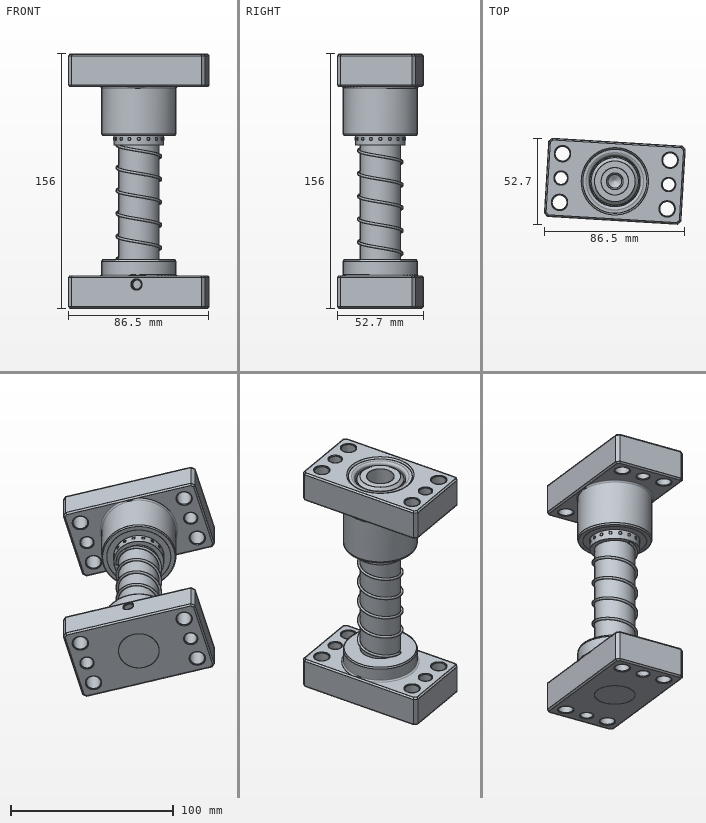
import cadquery as cq
import math

TOTAL_HEIGHT = 156.0

PLATE_ANGLE = -3.45
PLATE_LENGTH = 84.0
PLATE_WIDTH = 48.0
PLATE_THICKNESS = 20.0
PLATE_CORNER = 2.0
EDGE_CHAMFER = 1.0

HOLE_SPACING_LONG = 66.2
HOLE_SPACING_SHORT = 30.0
SCREW_HOLE_DIAMETER = 9.0
DOWEL_HOLE_DIAMETER = 7.8
HOLE_CHAMFER = 0.5

COLLAR_RADIUS = 22.8
COLLAR_CHAMFER_RADIAL = 0.55
COLLAR_CHAMFER_AXIAL = 1.1
FOOT_FILLET = 1.0
LOWER_COLLAR_TOP = 30.0
UPPER_COLLAR_BOTTOM = 106.1

CLAMP_HOLE_HEIGHT = 14.7
CLAMP_HOLE_DIAMETER = 6.0

BUSH_RADIUS = 19.7
BUSH_MOUTH_FILLET = 2.0

PILLAR_RADIUS = 12.5
TAPPED_HOLE_RADIUS = 4.2
TAPPED_HOLE_CHAMFER = 1.0
TAPPED_HOLE_DEPTH = 18.7
DRILL_POINT_ANGLE = 118.0

RING_RADIUS = 14.5
RING_BORE_RADIUS = 8.5
RING_HEIGHT = 12.5
RING_CHAMFER = 2.0

CAGE_BOTTOM = 100.2
CAGE_RADIUS = 15.3
BALL_RADIUS = 1.5
BALL_COUNT = 16
BALL_ROW_OFFSET = 3.9

WIRE_RADIUS = 0.8
SPRING_TURNS = 5
SPRING_START_ANGLE = 185.0

UPPER_PLATE_BOTTOM = TOTAL_HEIGHT - PLATE_THICKNESS
BUSH_TOP = TOTAL_HEIGHT - EDGE_CHAMFER
PILLAR_TOP = BUSH_TOP - RING_HEIGHT
BALL_TRACK_RADIUS = PILLAR_RADIUS + BALL_RADIUS
BUSH_BORE_RADIUS = BALL_TRACK_RADIUS + BALL_RADIUS
COIL_RADIUS = PILLAR_RADIUS + WIRE_RADIUS
SPRING_LENGTH = CAGE_BOTTOM - LOWER_COLLAR_TOP
SPRING_PITCH = SPRING_LENGTH / SPRING_TURNS


def disc(radius, bottom, top):
    """Cylinder on the main axis between two heights."""
    return cq.Workplane("XY").workplane(offset=bottom).circle(radius).extrude(top - bottom)


def tube(outer_radius, inner_radius, bottom, top):
    """Hollow cylinder on the main axis between two heights."""
    return disc(outer_radius, bottom, top).cut(disc(inner_radius, bottom, top))


def chamfered_hole(diameter):
    """Through hole for a plate standing on z = 0, chamfered at both ends."""
    radius = diameter / 2
    wide = radius + HOLE_CHAMFER
    profile = [
        (0, 0),
        (wide, 0),
        (radius, HOLE_CHAMFER),
        (radius, PLATE_THICKNESS - HOLE_CHAMFER),
        (wide, PLATE_THICKNESS),
        (0, PLATE_THICKNESS),
    ]
    return cq.Workplane("XZ").polyline(profile).close().revolve(360, (0, 0), (0, 1))


def drilled_plate():
    """Plate standing on z = 0 with bevelled corners and edges and six holes."""
    plate = cq.Workplane("XY").rect(PLATE_LENGTH, PLATE_WIDTH).extrude(PLATE_THICKNESS)
    plate = plate.edges("|Z").chamfer(PLATE_CORNER)
    plate = plate.faces("<Z or >Z").edges().chamfer(EDGE_CHAMFER)
    for x in (-HOLE_SPACING_LONG / 2, HOLE_SPACING_LONG / 2):
        for y, diameter in (
            (-HOLE_SPACING_SHORT / 2, SCREW_HOLE_DIAMETER),
            (0, DOWEL_HOLE_DIAMETER),
            (HOLE_SPACING_SHORT / 2, SCREW_HOLE_DIAMETER),
        ):
            plate = plate.cut(chamfered_hole(diameter).translate((x, y, 0)))
    return plate


def collar(height):
    """Round collar on top of a plate, with a chamfered rim and a fillet at its foot.

    The foot fillet is trimmed where it would overhang the bevelled plate edge.
    """
    top = PLATE_THICKNESS + height
    fillet_centre = (COLLAR_RADIUS + FOOT_FILLET, PLATE_THICKNESS + FOOT_FILLET)
    fillet_middle = (
        fillet_centre[0] - FOOT_FILLET * math.sqrt(0.5),
        fillet_centre[1] - FOOT_FILLET * math.sqrt(0.5),
    )
    body = (
        cq.Workplane("XZ")
        .moveTo(0, PLATE_THICKNESS)
        .lineTo(fillet_centre[0], PLATE_THICKNESS)
        .threePointArc(fillet_middle, (COLLAR_RADIUS, fillet_centre[1]))
        .lineTo(COLLAR_RADIUS, top - COLLAR_CHAMFER_AXIAL)
        .lineTo(COLLAR_RADIUS - COLLAR_CHAMFER_RADIAL, top)
        .lineTo(0, top)
        .close()
        .revolve(360, (0, 0), (0, 1))
    )
    flat_width = PLATE_WIDTH - 2 * EDGE_CHAMFER
    flat_face = cq.Workplane("XY").rect(PLATE_LENGTH, flat_width).extrude(top)
    return body.intersect(flat_face)


def clamp_hole():
    """Hole from the front face of the plate to the pillar, with a chamfered mouth."""
    radius = CLAMP_HOLE_DIAMETER / 2
    face = cq.Workplane("XZ", origin=(0, -PLATE_WIDTH / 2, CLAMP_HOLE_HEIGHT))
    hole = face.circle(radius).extrude(-PLATE_WIDTH / 2)
    mouth = face.circle(radius + HOLE_CHAMFER).workplane(offset=-HOLE_CHAMFER).circle(radius).loft()
    return hole.union(mouth)


def turned(body):
    """Turn a plate body to its angle about the main axis."""
    return body.rotate((0, 0, 0), (0, 0, 1), PLATE_ANGLE)


def make_lower_plate():
    plate = drilled_plate().union(collar(LOWER_COLLAR_TOP - PLATE_THICKNESS))
    plate = plate.cut(disc(PILLAR_RADIUS, 0, LOWER_COLLAR_TOP))
    return turned(plate.cut(clamp_hole()))


def make_upper_plate():
    plate = drilled_plate().union(collar(UPPER_PLATE_BOTTOM - UPPER_COLLAR_BOTTOM))
    plate = plate.rotate((0, 0, 0), (1, 0, 0), 180).translate((0, 0, TOTAL_HEIGHT))
    plate = plate.cut(disc(BUSH_RADIUS, UPPER_COLLAR_BOTTOM, TOTAL_HEIGHT))
    round_edges = plate.faces(">Z").edges("%CIRCLE")
    bore_rim = cq.selectors.RadiusNthSelector(-1)
    return turned(round_edges.edges(bore_rim).chamfer(EDGE_CHAMFER))


def make_bush():
    bush = tube(BUSH_RADIUS, BUSH_BORE_RADIUS, UPPER_COLLAR_BOTTOM, BUSH_TOP)
    mouth = cq.selectors.RadiusNthSelector(0)
    return bush.faces(">Z").edges(mouth).fillet(BUSH_MOUTH_FILLET)


def make_pillar():
    point_length = TAPPED_HOLE_RADIUS / math.tan(math.radians(DRILL_POINT_ANGLE / 2))
    hole_floor = PILLAR_TOP - TAPPED_HOLE_DEPTH
    hole_profile = [
        (0, PILLAR_TOP),
        (TAPPED_HOLE_RADIUS + TAPPED_HOLE_CHAMFER, PILLAR_TOP),
        (TAPPED_HOLE_RADIUS, PILLAR_TOP - TAPPED_HOLE_CHAMFER),
        (TAPPED_HOLE_RADIUS, hole_floor),
        (0, hole_floor - point_length),
    ]
    hole = cq.Workplane("XZ").polyline(hole_profile).close().revolve(360, (0, 0), (0, 1))
    return disc(PILLAR_RADIUS, 0, PILLAR_TOP).cut(hole)


def make_retaining_ring():
    ring = tube(RING_RADIUS, RING_BORE_RADIUS, PILLAR_TOP, BUSH_TOP)
    outer_rim = cq.selectors.RadiusNthSelector(-1)
    return ring.faces(">Z").edges(outer_rim).chamfer(RING_CHAMFER)


def make_ball_cage():
    """Sleeve around the pillar with one row of balls standing proud of it."""
    cage = tube(CAGE_RADIUS, PILLAR_RADIUS, CAGE_BOTTOM, PILLAR_TOP)
    ball = cq.Workplane("XY").sphere(BALL_RADIUS)
    ball = ball.translate((BALL_TRACK_RADIUS, 0, CAGE_BOTTOM + BALL_ROW_OFFSET))
    for index in range(BALL_COUNT):
        angle = index * 360 / BALL_COUNT
        cage = cage.union(ball.rotate((0, 0, 0), (0, 0, 1), angle))
    return cage


def make_spring():
    """Left-handed coil whose wire ends are ground flat on the collar and the cage."""
    path = cq.Wire.makeHelix(SPRING_PITCH, SPRING_LENGTH, COIL_RADIUS, lefthand=True)
    coil = (
        cq.Workplane("XZ")
        .center(COIL_RADIUS, 0)
        .circle(WIRE_RADIUS)
        .sweep(cq.Workplane(obj=path), isFrenet=True)
        .rotate((0, 0, 0), (0, 0, 1), SPRING_START_ANGLE)
        .translate((0, 0, LOWER_COLLAR_TOP))
    )
    return coil.intersect(disc(COLLAR_RADIUS, LOWER_COLLAR_TOP, CAGE_BOTTOM))


lower_plate = make_lower_plate()
upper_plate = make_upper_plate()
bush = make_bush()
pillar = make_pillar()
retaining_ring = make_retaining_ring()
ball_cage = make_ball_cage()
spring = make_spring()

result = cq.Compound.makeCompound([
    lower_plate.solids().val(),
    upper_plate.solids().val(),
    bush.solids().val(),
    pillar.solids().val(),
    retaining_ring.solids().val(),
    ball_cage.solids().val(),
    spring.solids().val(),
])